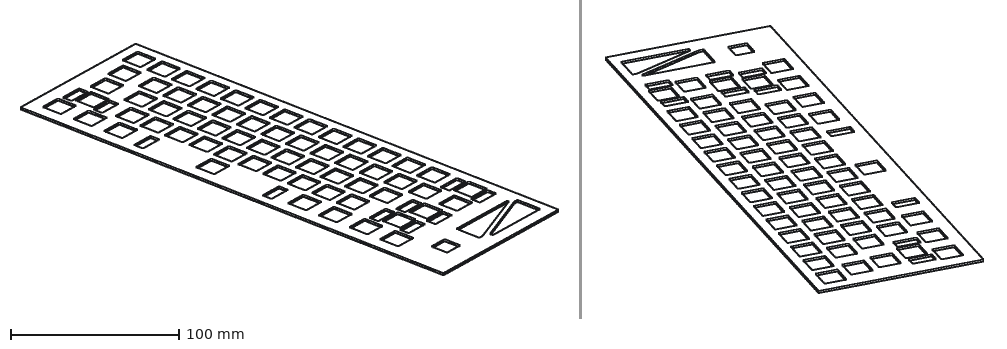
import cadquery as cq

plate_length = 328.5
plate_width = 106.0
plate_thickness = 1.5
corner_radius = 0.5

key_unit = 19.0
switch_size = 14.0
first_key_x = 14.5
rear_margin = 7.0

slot_width = 7.0
slot_height = 15.0
slot_drop = 1.5
wide_key_slot_offset = 11.8
space_bar_slot_offset = 50.0
stabilized_key_width = 2.0
space_bar_width = 6.25

key_rows = [
    [1] * 13 + [2],
    [1.5] + [1] * 12 + [1.5],
    [1.75] + [1] * 11 + [2.25],
    [2.25] + [1] * 10 + [2.75],
    [1.25] * 3 + [space_bar_width] + [1.25] * 4,
]

window_left = 298.0
window_right = 319.5
window_rear = 100.0
window_front = 48.3
rear_window_left = 302.0
rear_window_front = 56.0
rear_window_tip = 2.3
rear_window_step = 3.0
front_window_right = 315.5
front_window_rear = 95.0
front_window_tip = 1.3
front_window_step = 3.0

square_size = 12.0
square_x = 307.0
square_y = 27.5


def rounded_cutter(sketch):
    """Extrude closed outlines through the plate and round their corners."""
    return sketch.extrude(plate_thickness).edges("|Z").fillet(corner_radius)


def rectangles(centers, width, height):
    return rounded_cutter(cq.Workplane("XY").pushPoints(centers).rect(width, height))


def polygon(points):
    return rounded_cutter(cq.Workplane("XY").polyline(points).close())


def key_layout():
    """Return the centres of all switch openings and of all stabilizer slots."""
    switches = []
    slots = []
    for row, widths in enumerate(key_rows):
        y = plate_width - rear_margin - switch_size / 2 - row * key_unit
        key_left = first_key_x - key_unit / 2
        for width in widths:
            x = key_left + width * key_unit / 2
            key_left += width * key_unit
            switches.append((x, y))
            if width >= stabilized_key_width:
                offset = space_bar_slot_offset if width == space_bar_width else wide_key_slot_offset
                slots += [(x - offset, y - slot_drop), (x + offset, y - slot_drop)]
    return switches, slots


switch_centers, slot_centers = key_layout()

rear_window = [
    (rear_window_left, window_rear),
    (window_right, window_rear),
    (window_right, rear_window_front),
    (window_right - rear_window_tip, rear_window_front),
    (rear_window_left, window_rear - rear_window_step),
]
front_window = [
    (window_left, window_front),
    (front_window_right, window_front),
    (front_window_right, window_front + front_window_step),
    (window_left + front_window_tip, front_window_rear),
    (window_left, front_window_rear),
]

result = (
    cq.Workplane("XY")
    .box(plate_length, plate_width, plate_thickness, centered=False)
    .cut(rectangles(switch_centers, switch_size, switch_size))
    .cut(rectangles(slot_centers, slot_width, slot_height))
    .cut(polygon(rear_window))
    .cut(polygon(front_window))
    .cut(rectangles([(square_x, square_y)], square_size, square_size))
)